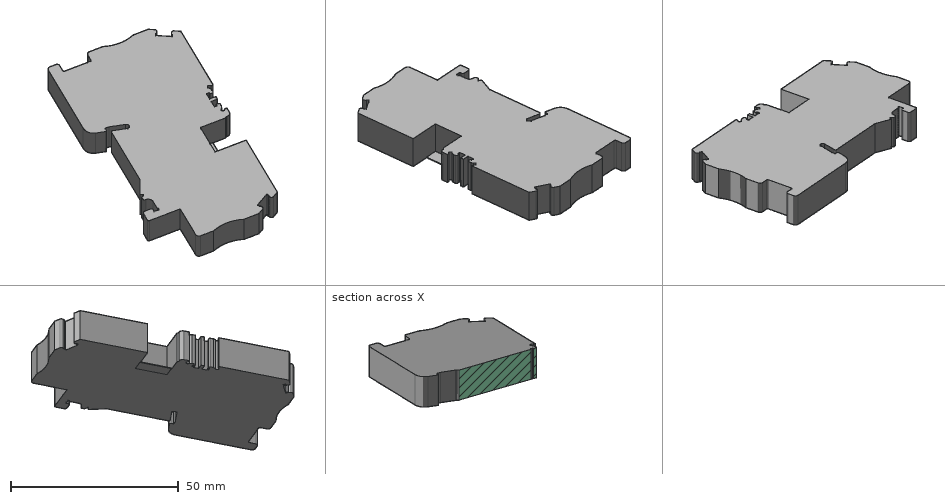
import cadquery as cq
import math

length = 76.5
height = 42.0
thickness = 10.0
ledge_z = 0.2

body_bottom = 13.1
body_left_radius = 0.9
body_right_radius = 1.15

hollow_y = 23.6
hollow_chord = 10.0
hollow_depth = 1.0

slope_angle = 60.0
slope_run = 4.9
slope_foot_y = height - slope_run * math.tan(math.radians(slope_angle))
notch_length = 4.35
notch_depth = 2.15
notch_from_end = 4.8
notch_mouth_radius = 0.7
undercut_growth = 0.3
undercut_width = 0.8

bridge_left = 39.9
bridge_right = 50.0
bridge_ledge_y = 35.8
bridge_floor_y = 31.7

shoulder_start_x = 38.4
shoulder_side_x = 39.55
shoulder_radius = 1.15
shoulder_bevel_top = 40.55
shoulder_bevel_bottom = 39.9

socket_x = 32.0
socket_half_width = 4.75
socket_floor = 38.8
lobe_top = 40.85
lobe_inner = 2.15
lobe_outer = 3.45
lobe_foot = 4.35
lobe_foot_y = 40.5
lobe_radius = 0.4
post_half_width = 0.5
bead_offset = 4.7
bead_y = 40.7
bead_radius = 0.5
socket_undercut_width = 0.5
socket_undercut_height = 0.85

foot_left = 3.4
foot_toe_top = 3.8
foot_toe_radius = 0.85
foot_heel_radius = 1.0
foot_inner_radius = 0.45
foot_round_radius = 3.4
foot_round_x = 25.0

slot_angle = 15.0
slot_width = 1.6
slot_top = 12.8
slot_radians = math.radians(slot_angle)
lean = math.tan(slot_radians)
barb_y = 5.9
barb_root_x = 27.9
barb_radius = 0.3

seat_y = 6.95
seat_left = 29.5
seat_corner_radius = 0.45
ramp_start_x = 49.65
ramp_end = (54.7, 4.6)
gap_top = (55.2, 5.6)
tooth_left = (55.9, 4.6)
tooth_right_x = 57.2
tooth_radius = 0.5
seat_radius = 1.6
seat_relief_x = 61.7
seat_relief_y = 7.3
hook_inner_x = 62.3
hook_left = 61.0
hook_right = 64.8
hook_top = 5.65
hook_bottom = 2.45
hook_radius = 0.7
hook_heel_radius = 0.45


def prism(points, bottom=0.0):
    """Straight-sided solid over a closed outline, from the given level to the top face."""
    return cq.Workplane("XY", origin=(0, 0, bottom)).polyline(points).close().extrude(thickness - bottom)


def block(x_min, x_max, y_min, y_max, bottom=0.0):
    """Rectangular prism from the given level to the top face."""
    return prism([(x_min, y_min), (x_max, y_min), (x_max, y_max), (x_min, y_max)], bottom)


def round_at(solid, x, y, radius):
    """Fillet the upright edge nearest to (x, y)."""
    nearest = cq.selectors.NearestToPointSelector((x, y, thickness / 2))
    return solid.edges("|Z").edges(nearest).fillet(radius)


def mirrored(solid, x):
    """The solid together with its mirror image about the plane at x."""
    return solid.union(solid.mirror("YZ", (x, 0, 0)))


def sloped_body():
    """Main body with its upper corners cut off along the slopes."""
    body = prism([
        (0, body_bottom),
        (length, body_bottom),
        (length, slope_foot_y),
        (length - slope_run, height),
        (slope_run, height),
        (0, slope_foot_y),
    ])
    body = round_at(body, 0, body_bottom, body_left_radius)
    return round_at(body, length, body_bottom, body_right_radius)


def on_slopes(solid):
    """Turn a solid drawn along X to lie along the left slope, and mirror it to the right one."""
    turned = solid.rotate((0, 0, 0), (0, 0, 1), slope_angle).translate((0, slope_foot_y, 0))
    return mirrored(turned, length / 2)


def cut_label_notches(body):
    """Notches with rounded mouths, and the undercuts in the corners of their floors."""
    start = notch_from_end - notch_length / 2
    end = start + notch_length
    body = body.cut(on_slopes(block(start, end, -notch_depth, notch_depth)))
    angle = math.radians(slope_angle)
    for along in (start, end):
        mouth_x = along * math.cos(angle)
        mouth_y = slope_foot_y + along * math.sin(angle)
        for x in (mouth_x, length - mouth_x):
            body = round_at(body, x, mouth_y, notch_mouth_radius)
    undercut = block(
        start - undercut_growth,
        end + undercut_growth,
        -notch_depth,
        undercut_width - notch_depth,
        ledge_z,
    )
    return body.cut(on_slopes(undercut))


def end_hollows():
    radius = ((hollow_chord / 2) ** 2 + hollow_depth ** 2) / (2 * hollow_depth)
    hollow = cq.Workplane("XY").center(hollow_depth - radius, hollow_y).circle(radius)
    return mirrored(hollow.extrude(thickness), length / 2)


def bridge_opening():
    """Opening right through at the top, and down to the bottom skin below the ledge line."""
    through = block(bridge_left, bridge_right, bridge_ledge_y, height)
    stepped = block(bridge_left, bridge_right, bridge_floor_y, height, ledge_z)
    return through.union(stepped)


def shoulder_trim():
    """Material removed outside the rounded and bevelled shoulder."""
    trim = (
        cq.Workplane("XY")
        .moveTo(shoulder_start_x, height)
        .radiusArc((shoulder_side_x, height - shoulder_radius), shoulder_radius)
        .lineTo(shoulder_side_x, shoulder_bevel_top)
        .lineTo(bridge_left, shoulder_bevel_bottom)
        .lineTo(bridge_left, height)
        .close()
    )
    return trim.extrude(thickness)


def marker_socket():
    """Cutter for the socket: one half drawn to the left of the post, then mirrored."""
    half = prism([
        (socket_x, height),
        (socket_x - socket_half_width, height),
        (socket_x - socket_half_width, bead_y),
        (socket_x - lobe_foot, lobe_foot_y),
        (socket_x - lobe_outer, lobe_top),
        (socket_x - lobe_inner, lobe_top),
        (socket_x - lobe_inner, socket_floor),
        (socket_x - post_half_width, socket_floor),
        (socket_x - post_half_width, lobe_top),
        (socket_x, lobe_top),
    ])
    half = round_at(half, socket_x - lobe_inner, lobe_top, lobe_radius)
    bead = cq.Workplane("XY").center(socket_x - bead_offset, bead_y)
    half = half.union(bead.circle(bead_radius).extrude(thickness))
    half = half.union(block(
        socket_x - lobe_inner - socket_undercut_width,
        socket_x - lobe_inner,
        socket_floor,
        socket_floor + socket_undercut_height,
        ledge_z,
    ))
    return mirrored(half, socket_x)


def rail_foot():
    """Left foot with its toe, large round and the barb beside the flexing slot."""
    tangent_x = foot_round_x + foot_round_radius * math.cos(slot_radians)
    tangent_y = foot_round_radius * (1 - math.sin(slot_radians))
    barb_tip_x = tangent_x + (barb_y - tangent_y) * lean
    slot_left = seat_left - slot_width / math.cos(slot_radians)
    foot = (
        cq.Workplane("XY")
        .moveTo(0, 0)
        .lineTo(foot_round_x, 0)
        .radiusArc((tangent_x, tangent_y), -foot_round_radius)
        .lineTo(barb_tip_x, barb_y)
        .lineTo(barb_root_x, barb_y)
        .lineTo(barb_root_x, seat_y + (barb_root_x - slot_left) / lean)
        .lineTo(slot_left + (body_bottom - seat_y) * lean, body_bottom)
        .lineTo(foot_left, body_bottom)
        .lineTo(foot_left, foot_toe_top)
        .lineTo(0, foot_toe_top)
        .close()
        .extrude(thickness)
    )
    foot = round_at(foot, 0, 0, foot_heel_radius)
    foot = round_at(foot, 0, foot_toe_top, foot_toe_radius)
    foot = round_at(foot, foot_left, foot_toe_top, foot_inner_radius)
    return round_at(foot, barb_tip_x, barb_y, barb_radius)


def rail_seat():
    """Rail seat from the flexing slot to the hook, with the snap teeth between them."""
    seat = prism([
        (seat_left, seat_y),
        (ramp_start_x, seat_y),
        ramp_end,
        gap_top,
        tooth_left,
        (tooth_right_x, tooth_left[1]),
        (tooth_right_x, seat_y),
        (seat_relief_x, seat_y),
        (seat_relief_x, seat_relief_y),
        (hook_inner_x, seat_relief_y),
        (hook_inner_x, hook_top),
        (hook_left, hook_top),
        (hook_left, hook_bottom),
        (hook_right, hook_bottom),
        (hook_right, body_bottom),
        (seat_left + (body_bottom - seat_y) * lean, body_bottom),
    ])
    seat = round_at(seat, seat_left, seat_y, seat_corner_radius)
    seat = round_at(seat, tooth_right_x, seat_y, seat_radius)
    seat = round_at(seat, tooth_right_x, tooth_left[1], tooth_radius)
    seat = round_at(seat, hook_left, hook_top, hook_radius)
    seat = round_at(seat, hook_left, hook_bottom, hook_radius)
    return round_at(seat, hook_right, hook_bottom, hook_heel_radius)


def slot_end():
    """Rounded upper end of the flexing slot: fills the corners left by its square top."""
    radius = slot_width / 2
    centre_y = slot_top - radius
    half_span = radius / math.cos(slot_radians)
    centre_x = seat_left - half_span + (centre_y - seat_y) * lean
    rise = body_bottom - centre_y
    cap = prism([
        (centre_x - half_span, centre_y),
        (centre_x + half_span, centre_y),
        (centre_x + half_span + rise * lean, body_bottom),
        (centre_x - half_span + rise * lean, body_bottom),
    ])
    return cap.cut(cq.Workplane("XY").center(centre_x, centre_y).circle(radius).extrude(thickness))


body = cut_label_notches(sloped_body()).cut(end_hollows())
plate = body.union(rail_foot()).union(rail_seat()).union(slot_end())
plate = round_at(plate, foot_left, body_bottom, foot_inner_radius)
result = plate.cut(bridge_opening()).cut(shoulder_trim()).cut(marker_socket())